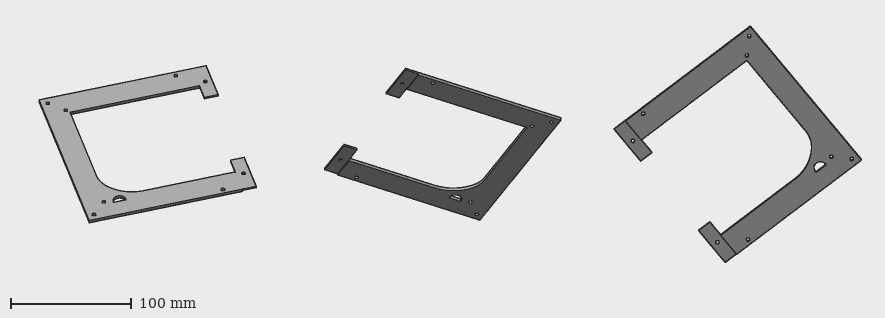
import cadquery as cq
import math

length_x = 148.0
length_y = 144.0
thickness = 3.0
side_rail = 21.2
bottom_rail = 20.5
tab_length = 35.5
tab_width = 12.0
tab_thickness = 1.8

upper_radius = 34.8
lower_radius = 22.2
upper_center_y = 53.0

hole_diameter = 3.0
inner_hole_inset = 17.8
top_hole_inset = 5.9
side_hole_inset = 4.1
side_hole_drop = 27.5
corner_hole_inset = 5.8

window_radius = 5.3
window_flat_inset = 15.0
window_depth = 6.2
window_y = 30.8

opening_right = length_x - side_rail
tab_bottom = length_y - tab_width


def make_opening():
    """Opening between the rails, continuing out between the two tabs."""
    upper_x = opening_right - upper_radius
    lower_y = bottom_rail + lower_radius
    center_drop = upper_center_y - lower_y
    radius_difference = upper_radius - lower_radius
    lower_x = upper_x + math.sqrt(radius_difference**2 - center_drop**2)
    joint_angle = math.atan2(-center_drop, lower_x - upper_x)

    def arc_point(center_x, center_y, radius, angle):
        return (center_x + radius * math.cos(angle), center_y + radius * math.sin(angle))

    joint = arc_point(upper_x, upper_center_y, upper_radius, joint_angle)
    upper_middle = arc_point(upper_x, upper_center_y, upper_radius, joint_angle / 2)
    lower_angle = (joint_angle - math.pi / 2) / 2
    lower_middle = arc_point(lower_x, lower_y, lower_radius, lower_angle)

    return (
        cq.Workplane("XY")
        .moveTo(side_rail, bottom_rail)
        .lineTo(lower_x, bottom_rail)
        .threePointArc(lower_middle, joint)
        .threePointArc(upper_middle, (opening_right, upper_center_y))
        .lineTo(opening_right, tab_bottom)
        .lineTo(length_x - tab_length, tab_bottom)
        .lineTo(length_x - tab_length, length_y)
        .lineTo(tab_length, length_y)
        .lineTo(tab_length, tab_bottom)
        .lineTo(side_rail, tab_bottom)
        .close()
        .extrude(thickness)
    )


def make_holes():
    """Four mirrored pairs of screw holes."""
    left_holes = [
        (inner_hole_inset, length_y - top_hole_inset),
        (side_hole_inset, length_y - side_hole_drop),
        (inner_hole_inset, inner_hole_inset),
        (corner_hole_inset, corner_hole_inset),
    ]
    right_holes = [(length_x - x, y) for x, y in left_holes]
    return (
        cq.Workplane("XY")
        .pushPoints(left_holes + right_holes)
        .circle(hole_diameter / 2)
        .extrude(thickness)
    )


def make_window():
    """Circular segment cut off by the straight side."""
    flat_x = length_x - window_flat_inset
    flat_offset = window_depth - window_radius
    half_chord = math.sqrt(window_radius**2 - flat_offset**2)
    return (
        cq.Workplane("XY")
        .moveTo(flat_x, window_y - half_chord)
        .lineTo(flat_x, window_y + half_chord)
        .threePointArc((flat_x - window_depth, window_y), (flat_x, window_y - half_chord))
        .close()
        .extrude(thickness)
    )


def make_tab_relief():
    """Underside step that thins the tabs across the full width."""
    relief = cq.Workplane("XY").box(
        length_x, tab_width, thickness - tab_thickness, centered=False
    )
    return relief.translate((0, tab_bottom, 0))


plate = cq.Workplane("XY").box(length_x, length_y, thickness, centered=False)
result = plate.cut(make_opening()).cut(make_tab_relief()).cut(make_holes()).cut(make_window())